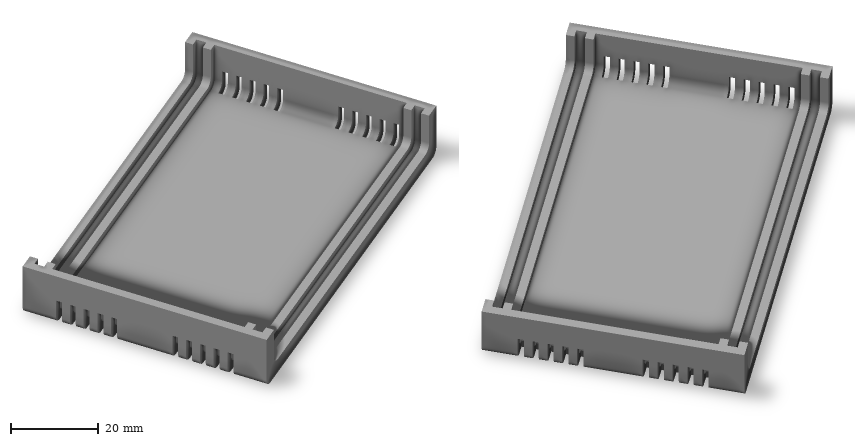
import cadquery as cq

width = 61.8
length = 92.0
height = 14.3

wall = 2.0
corner_radius = 2.0

outer_rail = 2.0
groove = 2.5
inner_rail = 2.0
rail_depth = 4.0

slot_width = 1.5
slot_pitch = 3.5
slots_per_group = 5
first_slot_x = 7.7
slot_top = 7.0


def channel(thickness, x_start, x_size):
    """Cutter that leaves the given thickness at floor and end walls, with rounded bends."""
    block = cq.Workplane("XY").box(
        x_size, length - 2 * thickness, height, centered=(False, True, False)
    )
    return block.edges("|X and <Z").fillet(corner_radius).translate((x_start, 0, thickness))


def vent_slot(x_center, end):
    """Slot through one end wall and its inner bend, stopping at the flat floor."""
    depth = wall + corner_radius
    y_center = end * (length - depth) / 2
    return (
        cq.Workplane("XY")
        .box(slot_width, depth, slot_top, centered=(True, True, False))
        .translate((x_center, y_center, 0))
    )


result = (
    cq.Workplane("XY")
    .box(width, length, height, centered=(True, True, False))
    .edges("|X and <Z")
    .fillet(corner_radius)
)

result = result.cut(channel(rail_depth, -width / 2, width))

cavity_width = width - 2 * (outer_rail + groove + inner_rail)
result = result.cut(channel(wall, -cavity_width / 2, cavity_width))

groove_start = width / 2 - outer_rail - groove
result = result.cut(channel(wall, groove_start, groove))
result = result.cut(channel(wall, -groove_start - groove, groove))

for end in (-1, 1):
    for side in (-1, 1):
        for i in range(slots_per_group):
            slot_x = side * (first_slot_x + i * slot_pitch)
            result = result.cut(vent_slot(slot_x, end))